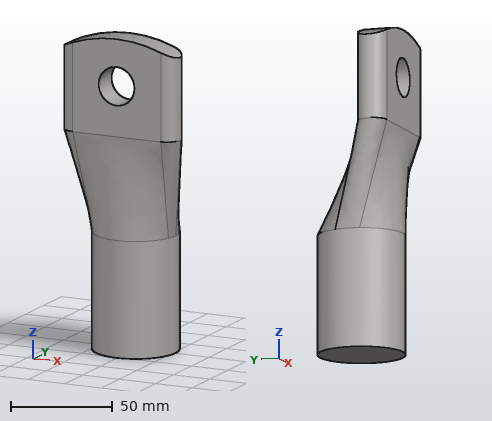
import cadquery as cq


overall_height = 161.78
barrel_diameter = 43.5
barrel_height = 59.7
palm_start_height = 112.3
palm_width = 62.91
palm_thickness = 14.6
hole_diameter = 19.5
hole_height = 137.8
tip_rise = 7.5

barrel_radius = barrel_diameter / 2
palm_center_y = -barrel_radius + palm_thickness / 2
neck_height = palm_start_height - barrel_height
half_width = palm_width / 2
shoulder_height = overall_height - tip_rise


def make_barrel():
    """Solid round barrel standing on Z = 0."""
    return cq.Workplane("XY").circle(barrel_radius).extrude(barrel_height)


def make_neck():
    """Loft from the barrel circle to the palm's rounded-end section."""
    return (
        cq.Workplane("XY", origin=(0, 0, barrel_height))
        .circle(barrel_radius)
        .workplane(offset=neck_height)
        .center(0, palm_center_y)
        .slot2D(palm_width, palm_thickness)
        .loft()
    )


def make_palm():
    """Flat palm with rounded sides, an arched tip and a through bolt hole."""
    blank = (
        cq.Workplane("XY", origin=(0, palm_center_y, palm_start_height))
        .slot2D(palm_width, palm_thickness)
        .extrude(overall_height - palm_start_height)
    )
    outline = (
        cq.Workplane("XZ", origin=(0, palm_center_y, 0))
        .moveTo(-half_width, palm_start_height)
        .lineTo(half_width, palm_start_height)
        .lineTo(half_width, shoulder_height)
        .threePointArc((0, overall_height), (-half_width, shoulder_height))
        .close()
        .extrude(palm_thickness / 2, both=True)
    )
    hole = (
        cq.Workplane("XZ", origin=(0, palm_center_y, 0))
        .center(0, hole_height)
        .circle(hole_diameter / 2)
        .extrude(palm_thickness, both=True)
    )
    return blank.intersect(outline).cut(hole)


result = make_barrel().union(make_neck()).union(make_palm())